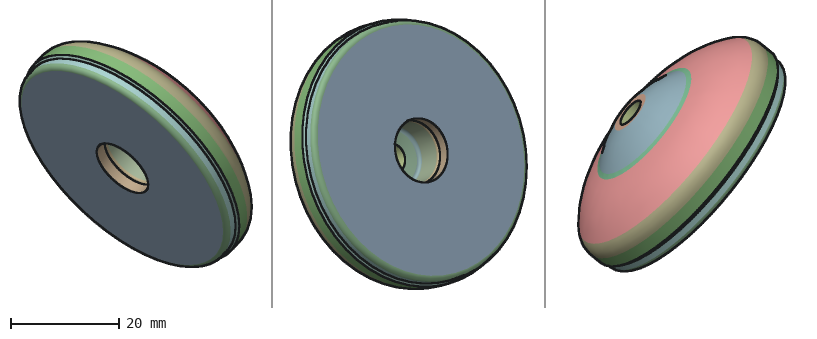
import cadquery as cq
import math


cover_radius = 25.0
cover_chamfer = 0.5
rim_top = 5.35

plate_radius = cover_radius - cover_chamfer
plate_thickness = 2.4
plate_edge_round = 1.0
plate_bore_radius = 6.0

shoulder_arc_radius = 3.85
shoulder_arc_angle = 47.5
crown_arc_radius = 20.4
crown_arc_angle = 36.0

overall_height = 16.85
boss_flat_radius = 4.2
boss_sphere_radius = 21.0
boss_blend_radius = 2.5

cover_bore_radius = 5.8
bore_mouth_round = 0.7
bore_end_height = 8.4
bore_end_round = 0.65
funnel_start_radius = cover_bore_radius - bore_end_round
through_hole_radius = 2.75
funnel_end_height = 8.9

outward_and_up = 45
inward_and_down = 225


def revolve_about_y(profile):
    """Turn a closed profile drawn in the XY plane about the Y axis."""
    return profile.close().revolve(360, (0, 0), (0, 1))


def point_on_arc(centre, radius, angle):
    """Point at an angle in degrees, measured from the radial direction."""
    turn = math.radians(angle)
    return (centre[0] + radius * math.cos(turn), centre[1] + radius * math.sin(turn))


def make_plate():
    """Flat disc with a plain bore and a rounded outer edge on its open face."""
    disc = revolve_about_y(
        cq.Workplane("XY")
        .moveTo(plate_bore_radius, 0)
        .lineTo(plate_radius, 0)
        .lineTo(plate_radius, plate_thickness)
        .lineTo(plate_bore_radius, plate_thickness)
    )
    outer_edge = cq.selectors.RadiusNthSelector(-1)
    return disc.faces("<Y").edges(outer_edge).fillet(plate_edge_round).solids()


def make_cover():
    """Domed disc with a spherical boss and a bore narrowing to a through hole."""
    shoulder_centre = (cover_radius - shoulder_arc_radius, rim_top)
    shoulder_middle = point_on_arc(shoulder_centre, shoulder_arc_radius, shoulder_arc_angle / 2)
    shoulder_end = point_on_arc(shoulder_centre, shoulder_arc_radius, shoulder_arc_angle)

    crown_centre = point_on_arc(
        shoulder_centre, shoulder_arc_radius - crown_arc_radius, shoulder_arc_angle
    )
    crown_middle = point_on_arc(
        crown_centre, crown_arc_radius, shoulder_arc_angle + crown_arc_angle / 2
    )
    crown_end = point_on_arc(crown_centre, crown_arc_radius, shoulder_arc_angle + crown_arc_angle)

    boss_centre_height = overall_height - math.sqrt(boss_sphere_radius**2 - boss_flat_radius**2)
    boss_middle_radius = (crown_end[0] + boss_flat_radius) / 2
    boss_middle = (
        boss_middle_radius,
        boss_centre_height + math.sqrt(boss_sphere_radius**2 - boss_middle_radius**2),
    )

    mouth_centre = (cover_bore_radius + bore_mouth_round, plate_thickness + bore_mouth_round)
    mouth_middle = point_on_arc(mouth_centre, bore_mouth_round, inward_and_down)

    bore_end_centre = (funnel_start_radius, bore_end_height - bore_end_round)
    bore_end_middle = point_on_arc(bore_end_centre, bore_end_round, outward_and_up)

    dome = revolve_about_y(
        cq.Workplane("XY")
        .moveTo(mouth_centre[0], plate_thickness)
        .lineTo(plate_radius, plate_thickness)
        .lineTo(cover_radius, plate_thickness + cover_chamfer)
        .lineTo(cover_radius, rim_top)
        .threePointArc(shoulder_middle, shoulder_end)
        .threePointArc(crown_middle, crown_end)
        .threePointArc(boss_middle, (boss_flat_radius, overall_height))
        .lineTo(through_hole_radius, overall_height)
        .lineTo(through_hole_radius, funnel_end_height)
        .lineTo(funnel_start_radius, bore_end_height)
        .threePointArc(bore_end_middle, (cover_bore_radius, bore_end_height - bore_end_round))
        .lineTo(cover_bore_radius, mouth_centre[1])
        .threePointArc(mouth_middle, (mouth_centre[0], plate_thickness))
    )

    boss_foot = cq.selectors.NearestToPointSelector((0, crown_end[1], 0))
    return dome.edges(boss_foot).fillet(boss_blend_radius).solids()


plate = make_plate()
cover = make_cover()

result = cq.Compound.makeCompound([plate.val(), cover.val()])